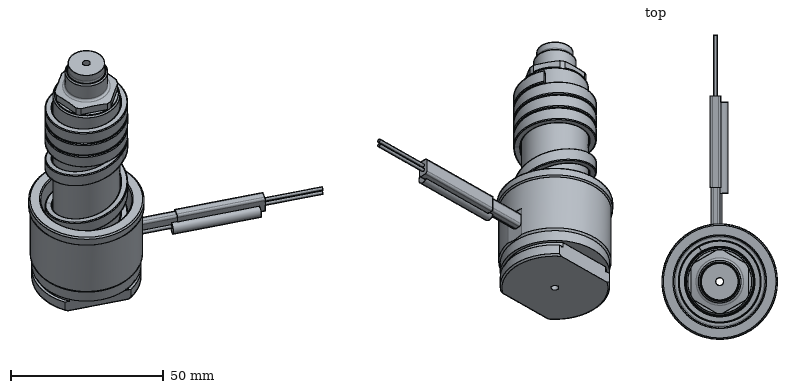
import cadquery as cq
import math

TOTAL_HEIGHT = 96.2

FOOT_RADIUS = 18.0
FOOT_TOP = 4.2
NECK_RADIUS = 17.0
NECK_TOP = 6.0
FLAT_HALF_WIDTH = 14.0
HOUSING_RADIUS = 18.5
HOUSING_BOTTOM = 10.0
COLLAR_RADIUS = 19.0
COLLAR_BOTTOM = 31.6
HOUSING_TOP = 35.2
COLLAR_CHAMFER = 0.5
FOOT_CHAMFER = 0.6
BARREL_CHAMFER_HEIGHT = 0.8
BARREL_CHAMFER_DEPTH = 0.5
BORE_RADIUS = 15.0
BORE_RIM_CHAMFER = 0.4
BORE_FLOOR_FILLET = 0.4

PAD_Y = 18.2
PAD_TOP = 21.4

SPINDLE_RADIUS = 11.0
SPINDLE_TOP = 82.3
SPINDLE_CHAMFER = 0.5
HEX_ACROSS_FLATS = 19.0
HEX_CORNER_RADIUS = 10.5
HEX_BOTTOM = 82.7
HEX_RIM_Z = 85.3
HEX_TOP = 85.9
NOSE_RADIUS = 7.0
NOSE_FOOT_FILLET = 0.8
NOSE_TOP = 92.8
NOSE_CHAMFER = 0.5
TIP_BASE_RADIUS = 6.2
TIP_RADIUS = 6.0
TIP_BOTTOM = 93.7
THROUGH_HOLE_DIAMETER = 2.5

COIL_OUTER_RADIUS = 13.6
COIL_INNER_RADIUS = 11.3
STRIP_HEIGHT = 4.8
STRIP_CHAMFER = 0.3
COIL_TOP_ANGLE = 121.0
COIL_TOP_Z = 77.0
CLOSED_PITCH = 5.3
OPEN_PITCH = 21.2
UPPER_CLOSED_SWEEP = 1154.0
OPEN_SWEEP = 520.0
LOWER_CLOSED_SWEEP = 1154.0
COIL_BITE = 0.1

COIL_RISE = (
    CLOSED_PITCH * (UPPER_CLOSED_SWEEP + LOWER_CLOSED_SWEEP) + OPEN_PITCH * OPEN_SWEEP
) / 360
BORE_FLOOR = COIL_TOP_Z - COIL_RISE - STRIP_HEIGHT / 2 + COIL_BITE

CABLE_X = -1.4
CABLE_Z = 17.1
SLEEVE_WIDTH = 3.6
SLEEVE_HEIGHT = 6.0
SLEEVE_START = 31.0
SLEEVE_LENGTH = 30.0
CABLE_WIDTH = 3.0
CABLE_HEIGHT = 5.1
CABLE_FILLET = 0.8
CABLE_START = 17.0
CORE_DIAMETER = 1.2
CORE_SPACING = 1.8
CORE_END = 81.0
TUBE_RADIUS = 2.0
TUBE_X = 0.8
TUBE_Z = 15.3
TUBE_START = 29.0
TUBE_LENGTH = 30.0
LEAD_RADIUS = 0.7
LEAD_X = 0.1
LEAD_Z = 15.6


def cylinder(radius, bottom, top):
    """Upright cylinder on the main axis."""
    return cq.Workplane("XY").workplane(offset=bottom).circle(radius).extrude(top - bottom)


def make_foot():
    """Chamfered foot and neck with two wrench flats."""
    foot = cylinder(FOOT_RADIUS, 0, FOOT_TOP).faces("<Z").chamfer(FOOT_CHAMFER)
    foot = foot.union(cylinder(NECK_RADIUS, FOOT_TOP, NECK_TOP))
    slab = cq.Workplane("XY").rect(2 * FLAT_HALF_WIDTH, 2 * COLLAR_RADIUS).extrude(NECK_TOP)
    return foot.intersect(slab)


def make_housing():
    """Round cup with a collar at its rim and a flat pad on the cable side."""
    barrel = (
        cq.Workplane("XZ")
        .moveTo(0, HOUSING_BOTTOM)
        .lineTo(HOUSING_RADIUS - BARREL_CHAMFER_DEPTH, HOUSING_BOTTOM)
        .lineTo(HOUSING_RADIUS, HOUSING_BOTTOM + BARREL_CHAMFER_HEIGHT)
        .lineTo(HOUSING_RADIUS, COLLAR_BOTTOM)
        .lineTo(0, COLLAR_BOTTOM)
        .close()
        .revolve(360, (0, 0, 0), (0, 1, 0))
    )
    pad_height = PAD_TOP - HOUSING_BOTTOM
    pad_cut = (
        cq.Workplane("XY")
        .box(2 * COLLAR_RADIUS, COLLAR_RADIUS, pad_height, centered=(True, False, False))
        .translate((0, PAD_Y, HOUSING_BOTTOM))
    )
    barrel = barrel.cut(pad_cut)
    collar = cylinder(COLLAR_RADIUS, COLLAR_BOTTOM, HOUSING_TOP).faces("<Z or >Z").chamfer(COLLAR_CHAMFER)
    base = cylinder(FOOT_RADIUS, NECK_TOP, HOUSING_BOTTOM)
    bore = cylinder(BORE_RADIUS, BORE_FLOOR, HOUSING_TOP).faces("<Z").edges().fillet(BORE_FLOOR_FILLET)
    cup = base.union(barrel).union(collar).cut(bore)
    bore_rim = cq.selectors.RadiusNthSelector(0)
    return cup.faces(">Z").edges(bore_rim).chamfer(BORE_RIM_CHAMFER)


def make_spindle():
    """Shaft, round hexagon seat, hexagon with turned corners and stepped nose."""
    shaft = cylinder(SPINDLE_RADIUS, NECK_TOP, SPINDLE_TOP).faces(">Z").chamfer(SPINDLE_CHAMFER)
    hex_blank = (
        cq.Workplane("XY")
        .workplane(offset=HEX_BOTTOM)
        .polygon(6, HEX_ACROSS_FLATS / math.cos(math.pi / 6))
        .extrude(TOTAL_HEIGHT - HEX_BOTTOM)
        .rotate((0, 0, 0), (0, 0, 1), 30)
    )
    fillet_centre_radius = NOSE_RADIUS + NOSE_FOOT_FILLET
    fillet_centre_z = HEX_TOP + NOSE_FOOT_FILLET
    fillet_offset = NOSE_FOOT_FILLET * math.sqrt(0.5)
    hex_turning = (
        cq.Workplane("XZ")
        .moveTo(0, HEX_BOTTOM)
        .lineTo(HEX_CORNER_RADIUS, HEX_BOTTOM)
        .lineTo(HEX_CORNER_RADIUS, HEX_RIM_Z)
        .lineTo(fillet_centre_radius, HEX_TOP)
        .threePointArc(
            (fillet_centre_radius - fillet_offset, fillet_centre_z - fillet_offset),
            (NOSE_RADIUS, fillet_centre_z),
        )
        .lineTo(NOSE_RADIUS, NOSE_TOP - NOSE_CHAMFER)
        .lineTo(NOSE_RADIUS - NOSE_CHAMFER, NOSE_TOP)
        .lineTo(TIP_BASE_RADIUS, NOSE_TOP)
        .lineTo(TIP_RADIUS, TIP_BOTTOM)
        .lineTo(TIP_RADIUS, TOTAL_HEIGHT)
        .lineTo(0, TOTAL_HEIGHT)
        .close()
        .revolve(360, (0, 0, 0), (0, 1, 0))
    )
    hex_seat = cylinder(HEX_CORNER_RADIUS, SPINDLE_TOP, HEX_BOTTOM)
    return shaft.union(hex_seat).union(hex_blank.intersect(hex_turning))


def strip_turns(pitch, sweep_angle, end_angle, end_z):
    """Right-handed flat-strip turns that climb over sweep_angle degrees up to end_angle and end_z."""
    rise = pitch * sweep_angle / 360
    path = cq.Wire.makeHelix(pitch, rise, COIL_OUTER_RADIUS)
    strip_centre = (COIL_INNER_RADIUS + COIL_OUTER_RADIUS) / 2
    strip = cq.Sketch().rect(COIL_OUTER_RADIUS - COIL_INNER_RADIUS, STRIP_HEIGHT)
    strip = strip.vertices().chamfer(STRIP_CHAMFER)
    section = cq.Workplane("XZ").center(strip_centre, 0).placeSketch(strip)
    turns = section.sweep(cq.Workplane(path), isFrenet=True)
    return turns.rotate((0, 0, 0), (0, 0, 1), end_angle - sweep_angle).translate((0, 0, end_z - rise))


def make_coil():
    """Coil around the spindle, stacked from its upper end down to the floor of the bore."""
    stretches = (
        (CLOSED_PITCH, UPPER_CLOSED_SWEEP),
        (OPEN_PITCH, OPEN_SWEEP),
        (CLOSED_PITCH, LOWER_CLOSED_SWEEP),
    )
    coil = cq.Workplane("XY")
    angle = COIL_TOP_ANGLE
    height = COIL_TOP_Z
    for pitch, sweep_angle in stretches:
        coil = coil.add(strip_turns(pitch, sweep_angle, angle, height))
        angle -= sweep_angle
        height -= pitch * sweep_angle / 360
    return coil.combine()


def rounded_bar(width, height, start, length):
    """Cable-centred bar along +Y with rounded long edges."""
    bar = cq.Workplane("XY").box(width, length, height).edges("|Y").fillet(CABLE_FILLET)
    return bar.translate((CABLE_X, start + length / 2, CABLE_Z))


def rod(x, z, radius, start, length):
    """Round rod along +Y."""
    return cq.Workplane(cq.Plane((x, start, z), (1, 0, 0), (0, 1, 0))).circle(radius).extrude(length)


def make_cable():
    """Flat cable, its sleeve, the round tube with its lead beside it and two cores."""
    sleeve_end = SLEEVE_START + SLEEVE_LENGTH
    cable = rounded_bar(SLEEVE_WIDTH, SLEEVE_HEIGHT, SLEEVE_START, SLEEVE_LENGTH)
    cable = cable.union(rounded_bar(CABLE_WIDTH, CABLE_HEIGHT, CABLE_START, SLEEVE_START - CABLE_START))
    cable = cable.union(rod(TUBE_X, TUBE_Z, TUBE_RADIUS, TUBE_START, TUBE_LENGTH))
    cable = cable.union(rod(LEAD_X, LEAD_Z, LEAD_RADIUS, CABLE_START, TUBE_START - CABLE_START))
    for side in (-1, 1):
        core_z = CABLE_Z + side * CORE_SPACING / 2
        cable = cable.union(rod(CABLE_X, core_z, CORE_DIAMETER / 2, sleeve_end, CORE_END - sleeve_end))
    return cable


result = (
    make_foot()
    .union(make_housing())
    .union(make_spindle())
    .union(make_coil())
    .union(make_cable())
    .cut(cylinder(THROUGH_HOLE_DIAMETER / 2, 0, TOTAL_HEIGHT))
)